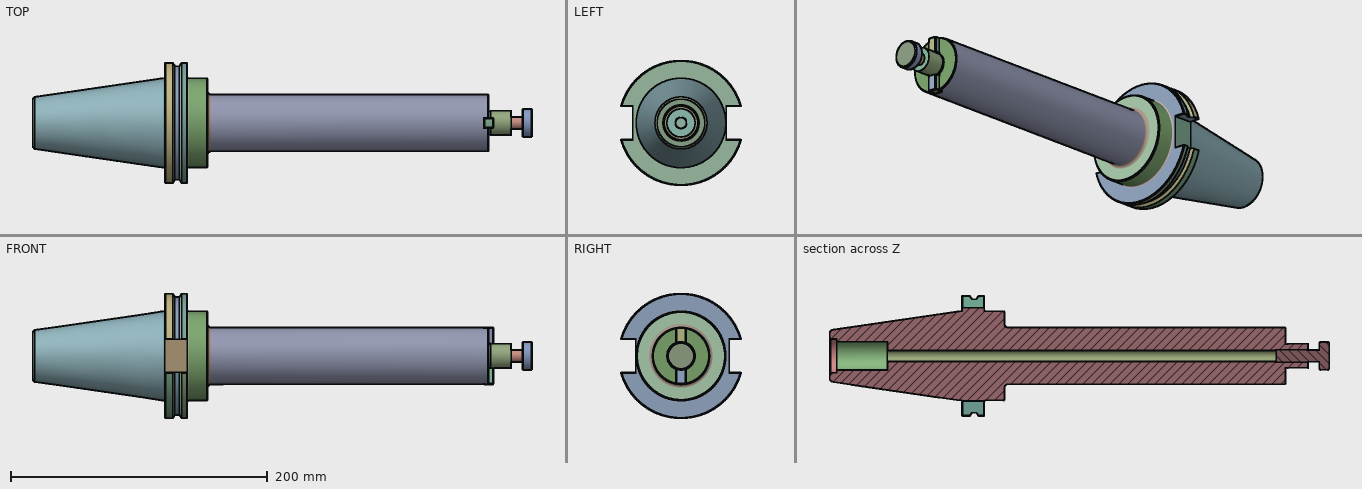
import cadquery as cq
import math


overall_length = 389.62

gauge_dia = 69.85
taper_length = 101.6
taper_ratio = 7 / 24
taper_end_dia = gauge_dia - taper_length * taper_ratio
taper_end_chamfer = 1.5

flange_dia = 97.5
flange_start = 1.5
flange_end = 19.05
flange_edge_chamfer = 0.6
groove_center = 11.1
groove_floor_width = 3.4
groove_mouth_width = 7.0
groove_depth = 2.6

slot_width = 25.7
slot_wall_chamfer = 0.5
slot_floor_front = 35.3
slot_floor_back = 37.7

boss_end = 34.93
boss_chamfer = 0.8
boss_fillet = 0.8
shank_dia = 44.57
shank_end = 254.0
shank_fillet = 2.4
shank_end_chamfer = 0.6
pilot_dia = 19.05
pilot_length = 17.46
undercut_dia = 18.55
undercut_length = 1.4
pilot_end = shank_end + pilot_length

socket_mouth_dia = 28.2
socket_bore_dia = 26.2
socket_bore_depth = 5.5
socket_thread_dia = 21.97
socket_depth = 45.0
coolant_hole_dia = 8.38

key_width = 7.94
key_height = 3.97
key_recess = 3.97
key_chamfer = 0.8

screw_dia = 9.53
screw_thread_depth = 25.0
screw_head_dia = 22.0
screw_head_start = 280.0
screw_end = overall_length - taper_length
screw_head_chamfer = 1.0


def x_cylinder(diameter, start, end):
    """Solid cylinder on the X axis between two X positions."""
    return cq.Workplane("YZ", origin=(start, 0, 0)).circle(diameter / 2).extrude(end - start)


def revolve_profile(points):
    """Solid of revolution from (x, radius) points; the profile closes along the axis."""
    return cq.Workplane("XY").polyline(points).close().revolve(360, (0, 0, 0), (1, 0, 0))


def fillet_root(body, shoulder_x, radius):
    """Fillet the smallest circular edge of the shoulder at shoulder_x."""
    reach = radius / 10
    half = gauge_dia / 2
    shoulder = cq.selectors.BoxSelector(
        (shoulder_x - reach, -half, -half), (shoulder_x + reach, half, half)
    )
    root = body.edges(shoulder).edges(cq.selectors.RadiusNthSelector(0))
    return root.fillet(radius)


def make_key(side):
    """Chamfered drive key at +Z (side = 1) or -Z (side = -1), trimmed to the shank outside."""
    x_start = shank_end - key_recess
    x_end = shank_end + key_height
    inner = pilot_dia / 2
    block_height = shank_dia / 2 - inner
    key = cq.Workplane("XY").box(
        x_end - x_start, key_width, block_height, centered=(False, True, False)
    )
    key = key.translate((x_start, 0, inner))
    key = key.faces(">X").edges("|Z").chamfer(key_chamfer)
    key = key.faces(">Z").edges().chamfer(key_chamfer)
    key = key.intersect(x_cylinder(shank_dia, x_start, x_end))
    key = key.cut(x_cylinder(pilot_dia, x_start, x_end))
    if side < 0:
        key = key.mirror("XY")
    return key


def make_key_slot():
    """Cutter for the square seats of both keys, one slot across the shank face."""
    start = shank_end - key_recess
    slot = cq.Workplane("XY").box(
        key_recess, key_width, shank_dia, centered=(False, True, True)
    )
    return slot.translate((start, 0, 0)).cut(x_cylinder(pilot_dia, start, shank_end))


def make_holder():
    """Taper, flange, arbor shank and pilot in one piece."""
    r_gauge = gauge_dia / 2
    r_shank = shank_dia / 2
    body = revolve_profile([
        (-taper_length, 0),
        (-taper_length, taper_end_dia / 2),
        (0, r_gauge),
        (boss_end - boss_chamfer, r_gauge),
        (boss_end, r_gauge - boss_chamfer),
        (boss_end, r_shank),
        (shank_end, r_shank),
        (shank_end, 0),
    ])
    body = body.faces("<X").edges().chamfer(taper_end_chamfer)
    body = body.faces(">X").edges().chamfer(shank_end_chamfer)
    body = fillet_root(body, boss_end, shank_fillet)

    body = body.union(make_flange())
    body = fillet_root(body, flange_end, boss_fillet)

    body = body.union(x_cylinder(undercut_dia, shank_end - key_recess, pilot_end))
    body = body.union(x_cylinder(pilot_dia, shank_end - key_recess, shank_end))
    body = body.union(x_cylinder(pilot_dia, shank_end + undercut_length, pilot_end))

    body = body.cut(make_socket())
    body = body.cut(x_cylinder(coolant_hole_dia, -taper_length, pilot_end))
    body = body.cut(x_cylinder(screw_dia, pilot_end - screw_thread_depth, pilot_end))
    return body.cut(make_key_slot())


def make_flange():
    """Grooved drive flange with its two slots of different depth."""
    flange = x_cylinder(flange_dia, flange_start, flange_end)
    flange = flange.edges().chamfer(flange_edge_chamfer)
    r_flange = flange_dia / 2
    r_floor = r_flange - groove_depth
    groove = revolve_profile([
        (groove_center - groove_floor_width / 2, r_floor),
        (groove_center + groove_floor_width / 2, r_floor),
        (groove_center + groove_mouth_width / 2, r_flange),
        (groove_center - groove_mouth_width / 2, r_flange),
    ])
    flange = flange.cut(groove)
    for side, floor in ((-1, slot_floor_front), (1, slot_floor_back)):
        flange = flange.cut(make_slot(side, floor))
    return flange


def make_slot(side, floor):
    """Cutter for one drive slot, flared where its walls meet the flange faces and rim."""
    length = flange_end - flange_start
    height = flange_dia / 2 - floor
    rim_half_width = slot_width / 2 + slot_wall_chamfer
    rim = math.sqrt((flange_dia / 2) ** 2 - rim_half_width ** 2)
    slot = cq.Workplane("XY").box(length, height, slot_width, centered=(False, False, True))
    for face_x, inward in ((0, 1), (length, -1)):
        flare = (
            cq.Workplane("XZ")
            .polyline([
                (face_x, rim_half_width),
                (face_x + inward * slot_wall_chamfer, slot_width / 2),
                (face_x + inward * slot_wall_chamfer, -slot_width / 2),
                (face_x, -rim_half_width),
            ])
            .close()
            .extrude(-height)
        )
        slot = slot.union(flare)
    rim_flare = (
        cq.Workplane("YZ")
        .polyline([
            (rim - slot_wall_chamfer - floor, slot_width / 2),
            (rim - floor, rim_half_width),
            (height, rim_half_width),
            (height, -rim_half_width),
            (rim - floor, -rim_half_width),
            (rim - slot_wall_chamfer - floor, -slot_width / 2),
        ])
        .close()
        .extrude(length)
    )
    slot = slot.union(rim_flare).translate((flange_start, floor, 0))
    if side < 0:
        slot = slot.mirror("XZ")
    return slot


def make_socket():
    """Chamfered, counterbored socket for the retention knob."""
    mouth = socket_mouth_dia / 2
    bore = socket_bore_dia / 2
    thread = socket_thread_dia / 2
    start = -taper_length
    return revolve_profile([
        (start, 0),
        (start, mouth),
        (start + mouth - bore, bore),
        (start + socket_bore_depth, bore),
        (start + socket_bore_depth, thread),
        (start + socket_depth, thread),
        (start + socket_depth, 0),
    ])


def make_lock_screw():
    """Lock screw with a chamfered round head."""
    head = x_cylinder(screw_head_dia, screw_head_start, screw_end)
    head = head.edges().chamfer(screw_head_chamfer)
    return head.union(x_cylinder(screw_dia, pilot_end - screw_thread_depth, screw_head_start))


drive_keys = [make_key(side) for side in (1, -1)]
holder = make_holder()
lock_screw = make_lock_screw()

result = cq.Compound.makeCompound(
    [holder.val(), lock_screw.val(), *[key.val() for key in drive_keys]]
)